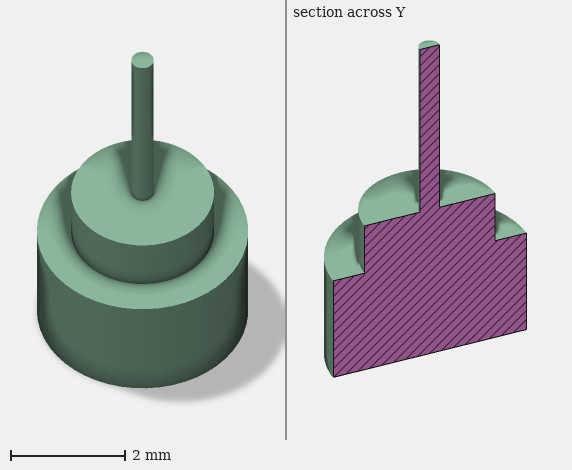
import cadquery as cq

total_height = 6.5
base_height = 2.055
collar_height = 1.0
pin_height = total_height - base_height - collar_height

base_diameter = 3.7
collar_diameter = 2.5
pin_diameter = 0.39


def add_cylinder(body, diameter, height):
    """Stack a coaxial cylinder on the top face of the body."""
    return body.faces(">Z").workplane().circle(diameter / 2).extrude(height)


base = cq.Workplane("XY").circle(base_diameter / 2).extrude(base_height)

with_collar = add_cylinder(base, collar_diameter, collar_height)
result = add_cylinder(with_collar, pin_diameter, pin_height)